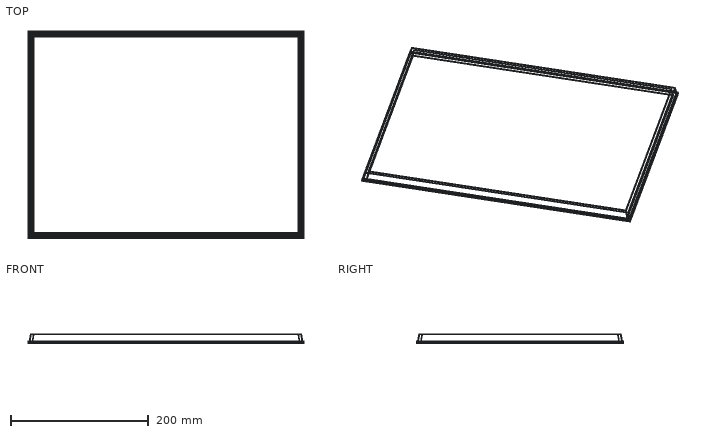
import math

import cadquery as cq

frame_length = 400.0
frame_width = 300.0
height = 13.0

draft_angle = 10.0
flange_height = 2.7
ledge_width = 1.5
top_face_width = 4.4


def lean(rise):
    """Inward shift of a drafted face over the given rise."""
    return rise * math.tan(math.radians(draft_angle))


flange_bottom_inset = -lean(flange_height)
flange_top_inset = 0.0
wall_base_inset = ledge_width
wall_top_inset = wall_base_inset + lean(height - flange_height)
opening_top_inset = wall_top_inset + top_face_width
opening_bottom_inset = opening_top_inset - lean(height)


def drafted_block(bottom_z, top_z, bottom_inset, top_inset):
    """Rectangular block whose four sides slope evenly between two insets."""
    return (
        cq.Workplane("XY")
        .workplane(offset=bottom_z)
        .rect(frame_length - 2 * bottom_inset, frame_width - 2 * bottom_inset)
        .workplane(offset=top_z - bottom_z)
        .rect(frame_length - 2 * top_inset, frame_width - 2 * top_inset)
        .loft(ruled=True)
    )


flange = drafted_block(0, flange_height, flange_bottom_inset, flange_top_inset)
wall = drafted_block(flange_height, height, wall_base_inset, wall_top_inset)

opening = drafted_block(0, height, opening_bottom_inset, opening_top_inset)

result = flange.union(wall).cut(opening)